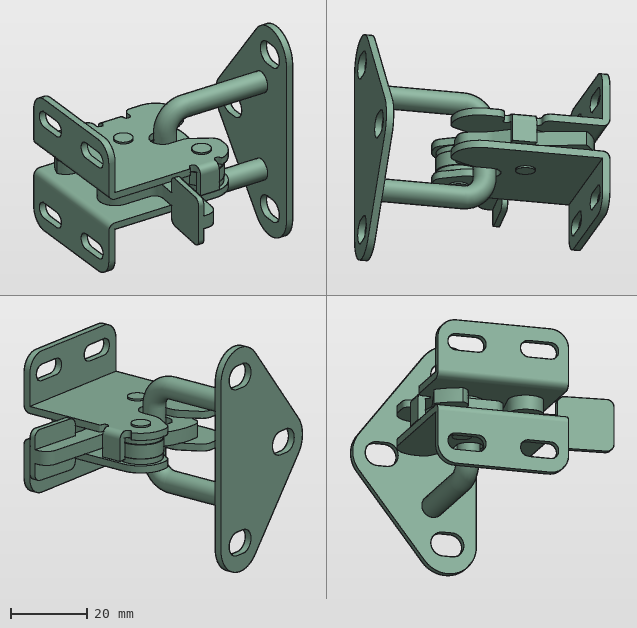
import cadquery as cq
import math


SHEET = 2.0
BRACKET_INNER_Z = 3.55
BRACKET_OUTER_Z = BRACKET_INNER_Z + SHEET
BLADE_THICKNESS = 3.85
COLLAR_INNER_Z = 2.05

STRIKER_BACK_Y = 61.25
STRIKER_FRONT_Y = STRIKER_BACK_Y - SHEET
STRIKER_CORNER_R = 8.0
STRIKER_HOLES = [(-14.0, 0), (4.0, -23.0), (4.0, 23.0)]
STRIKER_SLOT_LENGTH = 9.05
STRIKER_SLOT_WIDTH = 6.5
ROD_DIAMETER = 6.0
ROD_Y = 29.25
ROD_LEG_Z = 13.0
ROD_BEND_R = 6.0

BRACKET_HALF_WIDTH = 17.95
BRACKET_TOP_Y = 40.6
LOBE_R = 7.2
LOBE_INNER_X = 7.8
LOBE_INNER_R = 3.0
MOUTH_HALF_WIDTH = 3.55
MOUTH_CENTRE_Y = 28.5
MOUTH_SLOPE_Y = 33.3
MOUTH_SLOPE_R = 5.0
FLANGE_TOP_Z = 19.6
FLANGE_CORNER_R = 5.0
FLANGE_SLOT_X = 10.0
FLANGE_SLOT_Z = 13.55
FLANGE_SLOT_LENGTH = 10.5
FLANGE_SLOT_WIDTH = 4.5

TAB_TIP_Z = -2.4
RELIEF_WIDTH = 2.0
RELIEF_DEPTH = 1.05
LEFT_TAB_OUTER_X = -17.05
LEFT_TAB_Y = (19.5, 26.0)
LEFT_RELIEF_R = 2.0
RIGHT_TAB_OUTER_X = 19.5
RIGHT_TAB_Y = (27.6, 33.45)
RIGHT_RELIEF_R = 0.45

ROTOR_PIVOT = (-5.0, 19.5)
LEVER_PIVOT = (10.9, 33.5)
PIN_DIAMETER = 5.15
PIN_END_Z = 6.0
COLLAR_DIAMETER = 11.7

ARM_REACH = 18.0
CLAW_REACH = 18.6
HUB_REACH = 11.45
ARM_START_ANGLE = 228.2
ARM_END_ANGLE = 252.8
HUB_START_ANGLE = -47.5
HUB_END_ANGLE = -38.0
CLAW_TIP_ANGLE = 59.2
CLAW_BACK_ANGLE = 100.4
ARM_HEEL = (-8.3, 3.2)
ARM_HEEL_R = 4.1
ARM_ROOT = (-7.0, 10.65)
ARM_ROOT_R = 1.75
HUB_CORNER = (2.05, 10.65)
HUB_CORNER_R = 2.2
CLAW_BACK_R = 3.0
CLAW_TIP_R = 1.35
NECK = (-10.55, 30.4)
NECK_R = 5.45
STOP_OUTER = (-13.6, 25.4)
STOP_INNER = (-12.8, 20.75)
NOTCH_Y = (25.95, 32.35)
NOTCH_END_X = -5.65

LEVER_HUB_R = 6.0
WEB_TOP_R = 2.55
NOSE_CENTRE = (8.75, 8.0)
NOSE_R = 4.7
HANDLE_END_X = 35.8
HANDLE_END_Y = 16.4
HANDLE_DEPTH = 5.9
HANDLE_TILT = 5.0
HANDLE_ROOT_R = 2.55
HANDLE_TIP_R = 3.4
PADDLE_START_X = 20.6
PADDLE_HALF_HEIGHT = 7.05
PADDLE_THICKNESS = 1.6
PADDLE_CORNER_R = 2.0


def round_edge(body, point, radius):
    """Fillet the edge whose middle is nearest to the point."""
    return body.edges(cq.selectors.NearestToPointSelector(point)).fillet(radius)


def about(pivot, radius, angle):
    """Point at a radius and an angle in degrees about a pivot."""
    turn = math.radians(angle)
    return (pivot[0] + radius * math.cos(turn), pivot[1] + radius * math.sin(turn))


def belt(plane, circles):
    """Closed outline stretched around circles (x, y, radius) listed counter-clockwise."""
    leaving = []
    for (x1, y1, r1), (x2, y2, r2) in zip(circles, circles[1:] + circles[:1]):
        heading = math.atan2(y2 - y1, x2 - x1)
        lean = math.acos((r1 - r2) / math.hypot(x2 - x1, y2 - y1))
        leaving.append(math.degrees(heading - lean))
    outline = cq.Workplane(plane)
    for index, (x, y, r) in enumerate(circles):
        first = leaving[index - 1]
        last = first + (leaving[index] - first) % 360
        start = about((x, y), r, first)
        outline = outline.lineTo(*start) if index else outline.moveTo(*start)
        middle = about((x, y), r, (first + last) / 2)
        outline = outline.threePointArc(middle, about((x, y), r, last))
    return outline.close()


def box_between(x, y, z):
    """Box between the two limits given for each axis."""
    size = [max(limits) - min(limits) for limits in (x, y, z)]
    corner = (min(x), min(y), min(z))
    return cq.Workplane().box(*size, centered=False).translate(corner)


def make_striker():
    corners = [(x, z, STRIKER_CORNER_R) for x, z in STRIKER_HOLES]
    plate = belt("XZ", corners).extrude(-SHEET)
    slots = cq.Workplane("XZ").pushPoints(STRIKER_HOLES)
    plate = plate.cut(slots.slot2D(STRIKER_SLOT_LENGTH, STRIKER_SLOT_WIDTH).extrude(-SHEET))
    plate = plate.translate((0, STRIKER_FRONT_Y, 0))

    bend_y = ROD_Y + ROD_BEND_R
    bar_z = ROD_LEG_Z - ROD_BEND_R
    inset = ROD_BEND_R * (1 - math.sqrt(0.5))
    path = (
        cq.Workplane("YZ")
        .moveTo(STRIKER_FRONT_Y, ROD_LEG_Z)
        .lineTo(bend_y, ROD_LEG_Z)
        .threePointArc((ROD_Y + inset, ROD_LEG_Z - inset), (ROD_Y, bar_z))
        .lineTo(ROD_Y, -bar_z)
        .threePointArc((ROD_Y + inset, inset - ROD_LEG_Z), (bend_y, -ROD_LEG_Z))
        .lineTo(STRIKER_FRONT_Y, -ROD_LEG_Z)
    )
    profile = cq.Workplane("XZ", origin=(0, STRIKER_FRONT_Y, ROD_LEG_Z)).circle(ROD_DIAMETER / 2)
    return plate.union(profile.sweep(path))


def bracket_side_plate():
    """Upper side plate with two lobes beside the tapered mouth for the striker rod."""
    middle_z = (BRACKET_INNER_Z + BRACKET_OUTER_Z) / 2
    plate = (
        cq.Workplane(origin=(0, 0, BRACKET_INNER_Z))
        .moveTo(-BRACKET_HALF_WIDTH, SHEET)
        .lineTo(BRACKET_HALF_WIDTH, SHEET)
        .lineTo(BRACKET_HALF_WIDTH, BRACKET_TOP_Y)
        .lineTo(LOBE_INNER_X, BRACKET_TOP_Y)
        .lineTo(MOUTH_HALF_WIDTH, MOUTH_SLOPE_Y)
        .lineTo(MOUTH_HALF_WIDTH, MOUTH_CENTRE_Y)
        .threePointArc((0, MOUTH_CENTRE_Y - MOUTH_HALF_WIDTH), (-MOUTH_HALF_WIDTH, MOUTH_CENTRE_Y))
        .lineTo(-MOUTH_HALF_WIDTH, MOUTH_SLOPE_Y)
        .lineTo(-LOBE_INNER_X, BRACKET_TOP_Y)
        .lineTo(-BRACKET_HALF_WIDTH, BRACKET_TOP_Y)
        .close()
        .extrude(SHEET)
    )
    for side in (-1, 1):
        plate = round_edge(plate, (side * BRACKET_HALF_WIDTH, BRACKET_TOP_Y, middle_z), LOBE_R)
        plate = round_edge(plate, (side * LOBE_INNER_X, BRACKET_TOP_Y, middle_z), LOBE_INNER_R)
        plate = round_edge(plate, (side * MOUTH_HALF_WIDTH, MOUTH_SLOPE_Y, middle_z), MOUTH_SLOPE_R)
    return plate


def bracket_flange():
    """Mounting flange of the upper bracket with its bend, rounded free corners and two slots."""
    flange = (
        cq.Workplane("YZ")
        .moveTo(0, FLANGE_TOP_Z)
        .lineTo(0, BRACKET_OUTER_Z)
        .threePointArc(about((SHEET, BRACKET_OUTER_Z), SHEET, 225), (SHEET, BRACKET_INNER_Z))
        .lineTo(SHEET, FLANGE_TOP_Z)
        .close()
        .extrude(BRACKET_HALF_WIDTH, both=True)
    )
    flange = flange.edges("|Y and >Z").fillet(FLANGE_CORNER_R)
    slots = (
        cq.Workplane("XZ")
        .pushPoints([(-FLANGE_SLOT_X, FLANGE_SLOT_Z), (FLANGE_SLOT_X, FLANGE_SLOT_Z)])
        .slot2D(FLANGE_SLOT_LENGTH, FLANGE_SLOT_WIDTH)
        .extrude(-SHEET)
    )
    return flange.cut(slots)


def plain_bracket():
    """Upper bracket without tabs: side plate, flange and pin holes."""
    bracket = bracket_side_plate().union(bracket_flange())
    holes = cq.Workplane().pushPoints([ROTOR_PIVOT, LEVER_PIVOT]).circle(PIN_DIAMETER / 2)
    return bracket.cut(holes.extrude(BRACKET_OUTER_Z))


def add_tab(bracket, outer_x, tab_y, relief_r):
    """Fold a tab down at one side, with a round-ended relief at each end of its bend."""
    side = math.copysign(1, outer_x)
    edge_x = side * BRACKET_HALF_WIDTH
    bend_x = outer_x - side * SHEET
    plate_z = (BRACKET_INNER_Z, BRACKET_OUTER_Z)
    middle_z = sum(plate_z) / 2
    relief_end_x = bend_x - side * RELIEF_DEPTH
    round_r = RELIEF_WIDTH / 2

    bracket = bracket.cut(box_between((bend_x, 2 * edge_x), tab_y, plate_z))
    for end_y, outward in ((tab_y[0], -1), (tab_y[1], 1)):
        far_y = end_y + outward * RELIEF_WIDTH
        round_centre_x = relief_end_x + side * round_r
        slot = box_between((round_centre_x, 2 * edge_x), (end_y, far_y), plate_z)
        tip = cq.Workplane(origin=(round_centre_x, (end_y + far_y) / 2, BRACKET_INNER_Z))
        slot = slot.union(tip.circle(round_r).extrude(SHEET))
        bracket = bracket.cut(slot)
        bracket = round_edge(bracket, (edge_x, far_y, middle_z), relief_r)

    bend_middle = about((bend_x, BRACKET_INNER_Z), SHEET, 90 - side * 45)
    tab = (
        cq.Workplane("XZ", origin=(0, tab_y[0], 0))
        .moveTo(bend_x, TAB_TIP_Z)
        .lineTo(bend_x, BRACKET_OUTER_Z)
        .threePointArc(bend_middle, (outer_x, BRACKET_INNER_Z))
        .lineTo(outer_x, TAB_TIP_Z)
        .close()
        .extrude(tab_y[0] - tab_y[1])
    )
    return bracket.union(tab)


def make_upper_bracket():
    bracket = add_tab(plain_bracket(), LEFT_TAB_OUTER_X, LEFT_TAB_Y, LEFT_RELIEF_R)
    return add_tab(bracket, RIGHT_TAB_OUTER_X, RIGHT_TAB_Y, RIGHT_RELIEF_R)


def make_lower_bracket():
    return plain_bracket().mirror("XY")


def make_pin(pivot):
    """Rivet pin with a collar between each bracket and the blade it carries."""
    pin = cq.Workplane().circle(PIN_DIAMETER / 2).extrude(PIN_END_Z, both=True)
    collar = (
        cq.Workplane(origin=(0, 0, COLLAR_INNER_Z))
        .circle(COLLAR_DIAMETER / 2)
        .extrude(BRACKET_INNER_Z - COLLAR_INNER_Z)
    )
    return pin.union(collar).union(collar.mirror("XY")).translate((*pivot, 0))


def drill_pivot(blade, pivot):
    hole = cq.Workplane(origin=(*pivot, 0)).circle(PIN_DIAMETER / 2)
    return blade.cut(hole.extrude(BLADE_THICKNESS, both=True))


def make_rotor():
    """Hooked blade: an arm at the front, a notch for the rod and a claw behind the rod."""

    def reach(radius, angle):
        return about(ROTOR_PIVOT, radius, angle)

    arm_start = reach(ARM_REACH, ARM_START_ANGLE)
    arm_end = reach(ARM_REACH, ARM_END_ANGLE)
    hub_start = reach(HUB_REACH, HUB_START_ANGLE)
    hub_end = reach(HUB_REACH, HUB_END_ANGLE)
    claw_tip = reach(CLAW_REACH, CLAW_TIP_ANGLE)
    claw_back = reach(CLAW_REACH, CLAW_BACK_ANGLE)
    notch_low, notch_high = NOTCH_Y
    notch_r = (notch_high - notch_low) / 2
    notch_straight_x = NOTCH_END_X + notch_r
    rotor = (
        cq.Workplane(origin=(0, 0, -BLADE_THICKNESS / 2))
        .moveTo(*arm_start)
        .threePointArc(reach(ARM_REACH, (ARM_START_ANGLE + ARM_END_ANGLE) / 2), arm_end)
        .lineTo(*ARM_HEEL)
        .lineTo(*ARM_ROOT)
        .lineTo(*HUB_CORNER)
        .lineTo(*hub_start)
        .threePointArc(reach(HUB_REACH, (HUB_START_ANGLE + HUB_END_ANGLE) / 2), hub_end)
        .lineTo(hub_end[0], notch_low)
        .lineTo(notch_straight_x, notch_low)
        .threePointArc((NOTCH_END_X, notch_low + notch_r), (notch_straight_x, notch_high))
        .lineTo(claw_tip[0], notch_high)
        .lineTo(*claw_tip)
        .threePointArc(reach(CLAW_REACH, (CLAW_TIP_ANGLE + CLAW_BACK_ANGLE) / 2), claw_back)
        .lineTo(*NECK)
        .lineTo(*STOP_OUTER)
        .lineTo(*STOP_INNER)
        .close()
        .extrude(BLADE_THICKNESS)
    )
    rounded_corners = [
        (ARM_HEEL, ARM_HEEL_R),
        (ARM_ROOT, ARM_ROOT_R),
        (HUB_CORNER, HUB_CORNER_R),
        (claw_tip, CLAW_TIP_R),
        (claw_back, CLAW_BACK_R),
        (NECK, NECK_R),
    ]
    for corner, radius in rounded_corners:
        rotor = round_edge(rotor, (*corner, 0), radius)
    return drill_pivot(rotor, ROTOR_PIVOT)


def handle_lower_y(x):
    """Height in Y of the handle's tilted lower edge."""
    return HANDLE_END_Y + (HANDLE_END_X - x) * math.tan(math.radians(HANDLE_TILT))


def handle_strip(start_x, depth, half_height):
    """Tilted strip along the lower edge of the handle, out to the handle's end."""
    start_y = handle_lower_y(start_x)
    corners = [
        (start_x, start_y),
        (HANDLE_END_X, HANDLE_END_Y),
        (HANDLE_END_X, HANDLE_END_Y + depth),
        (start_x, start_y + depth),
    ]
    return cq.Workplane().polyline(corners).close().extrude(half_height, both=True)


def make_lever():
    """Blade from the pivot down to a rounded nose, with a tilted handle and a thumb paddle."""
    blade_half = BLADE_THICKNESS / 2
    circles = [(*LEVER_PIVOT, WEB_TOP_R), (*NOSE_CENTRE, NOSE_R)]
    blade = belt("XY", circles).extrude(blade_half, both=True)
    hub = cq.Workplane(origin=(*LEVER_PIVOT, 0)).circle(LEVER_HUB_R)
    blade = blade.union(hub.extrude(blade_half, both=True))

    handle = handle_strip(LEVER_PIVOT[0], HANDLE_DEPTH, blade_half)
    handle_tip = (HANDLE_END_X, HANDLE_END_Y + HANDLE_DEPTH, 0)
    handle = round_edge(handle, handle_tip, HANDLE_TIP_R)
    blade = blade.union(handle)
    handle_root_x = NOSE_CENTRE[0] + NOSE_R
    blade = round_edge(blade, (handle_root_x, handle_lower_y(handle_root_x), 0), HANDLE_ROOT_R)

    paddle = handle_strip(PADDLE_START_X, PADDLE_THICKNESS, PADDLE_HALF_HEIGHT)
    for end in ("<X", ">X"):
        paddle = paddle.faces(end).edges("|Y").fillet(PADDLE_CORNER_R)
    return drill_pivot(blade.union(paddle), LEVER_PIVOT)


striker = make_striker()
upper_bracket = make_upper_bracket()
lower_bracket = make_lower_bracket()
rotor = make_rotor()
lever = make_lever()
pins = [make_pin(pivot) for pivot in (ROTOR_PIVOT, LEVER_PIVOT)]

result = cq.Compound.makeCompound(
    [
        striker.val(),
        upper_bracket.val(),
        lower_bracket.val(),
        rotor.val(),
        lever.val(),
        *[pin.val() for pin in pins],
    ]
)